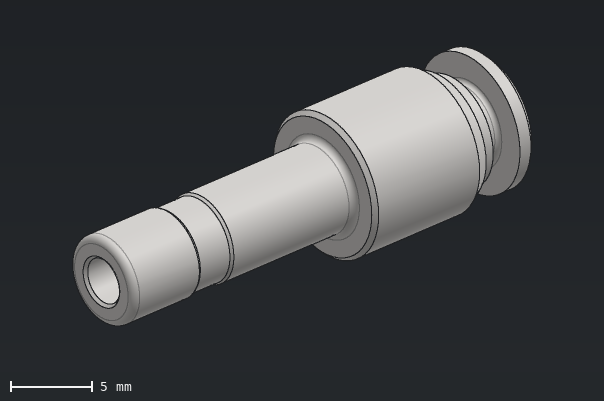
import cadquery as cq
import math

overall_length = 31.3

stem_radius = 3.0
tip_round = 0.5
groove_radius = 2.86
groove_start = 5.35
groove_end = 8.15
groove_flank_length = 0.2
stem_root_fillet = 0.45

body_radius = 4.9
body_start = overall_length - 13.35
body_end = overall_length - 3.8
body_stem_side_chamfer = 0.3
body_collar_side_bevel_length = 1.05
body_collar_side_bevel_depth = 0.6

ring_radius = 3.75
ring_end = overall_length - 2.75
neck_radius = 2.7
neck_fillet = 0.3
collar_radius = 4.7
collar_thickness = 1.4
collar_chamfer = 0.5
collar_start = overall_length - collar_thickness

bore_radius = 1.5
bore_mouth_chamfer = 0.2


def arc_midpoint(center_x, center_y, radius, angle_degrees):
    """Point on a circle in the profile plane, used to steer a quarter-round arc."""
    angle = math.radians(angle_degrees)
    return (center_x + radius * math.cos(angle), center_y + radius * math.sin(angle))


def make_outer_form():
    """Revolve the outer profile (X is the radius, Y runs along the axis)."""
    tip_middle = arc_midpoint(stem_radius - tip_round, tip_round, tip_round, -45)
    root_middle = arc_midpoint(
        stem_radius + stem_root_fillet, body_start - stem_root_fillet, stem_root_fillet, 135
    )
    neck_middle = arc_midpoint(neck_radius + neck_fillet, collar_start - neck_fillet, neck_fillet, 135)

    profile = (
        cq.Workplane("XY")
        .moveTo(0, 0)
        .lineTo(stem_radius - tip_round, 0)
        .threePointArc(tip_middle, (stem_radius, tip_round))
        .lineTo(stem_radius, groove_start)
        .lineTo(groove_radius, groove_start + groove_flank_length)
        .lineTo(groove_radius, groove_end - groove_flank_length)
        .lineTo(stem_radius, groove_end)
        .lineTo(stem_radius, body_start - stem_root_fillet)
        .threePointArc(root_middle, (stem_radius + stem_root_fillet, body_start))
        .lineTo(body_radius - body_stem_side_chamfer, body_start)
        .lineTo(body_radius, body_start + body_stem_side_chamfer)
        .lineTo(body_radius, body_end - body_collar_side_bevel_length)
        .lineTo(body_radius - body_collar_side_bevel_depth, body_end)
        .lineTo(ring_radius, body_end)
        .lineTo(ring_radius, ring_end)
        .lineTo(neck_radius, ring_end)
        .lineTo(neck_radius, collar_start - neck_fillet)
        .threePointArc(neck_middle, (neck_radius + neck_fillet, collar_start))
        .lineTo(collar_radius, collar_start)
        .lineTo(collar_radius, overall_length - collar_chamfer)
        .lineTo(collar_radius - collar_chamfer, overall_length)
        .lineTo(0, overall_length)
        .close()
    )
    return profile.revolve(360, (0, 0, 0), (0, 1, 0))


def make_bore():
    """Straight through bore, opened by a chamfer at the stem tip."""
    return (
        cq.Workplane("XY")
        .moveTo(0, 0)
        .lineTo(bore_radius + bore_mouth_chamfer, 0)
        .lineTo(bore_radius, bore_mouth_chamfer)
        .lineTo(bore_radius, overall_length)
        .lineTo(0, overall_length)
        .close()
        .revolve(360, (0, 0, 0), (0, 1, 0))
    )


result = make_outer_form().cut(make_bore())